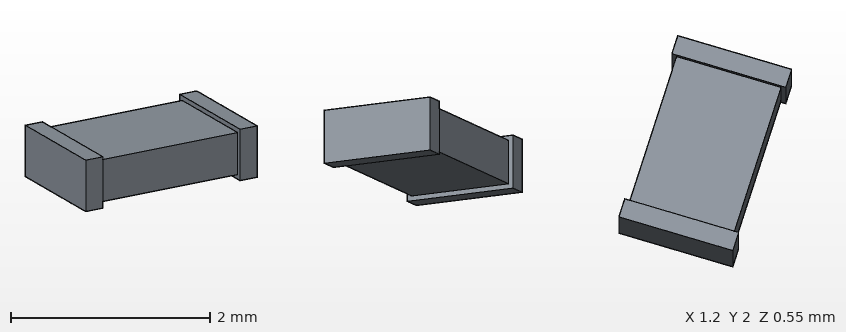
import cadquery as cq

total_length = 2.0
cap_width = 1.2
cap_height = 0.55
cap_length = 0.2
cap_overhang = 0.05

body_length = total_length - 2 * cap_length
body_width = cap_width - 2 * cap_overhang
body_height = cap_height - 2 * cap_overhang
cap_center = (total_length - cap_length) / 2


def end_cap(side):
    """Cap at the -Y end (side = -1) or the +Y end (side = 1)."""
    cap = cq.Workplane("XY").box(cap_width, cap_length, cap_height)
    return cap.translate((0, side * cap_center, 0))


result = cq.Workplane("XY").box(body_width, body_length, body_height)
for side in (-1, 1):
    result = result.union(end_cap(side))